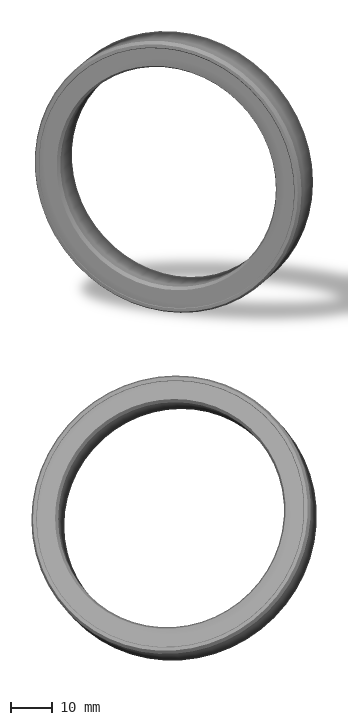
import cadquery as cq

outer_radius = 34.0
bore_radius = 27.5
width = 10.05
chamfer_depth = 1.0
chamfer_height = 0.58
joint_rim_radius = 32.65
clearance = 0.15

half_width = width / 2
bevel_start = half_width - chamfer_depth


def ring(inner_rim, inner_middle, outer_middle, outer_rim):
    """Revolve a ring whose two sides are bevelled from a middle radius to a rim radius at both ends."""
    profile = (
        cq.Workplane("XY")
        .moveTo(inner_rim, -half_width)
        .lineTo(outer_rim, -half_width)
        .lineTo(outer_middle, -bevel_start)
        .lineTo(outer_middle, bevel_start)
        .lineTo(outer_rim, half_width)
        .lineTo(inner_rim, half_width)
        .lineTo(inner_middle, bevel_start)
        .lineTo(inner_middle, -bevel_start)
        .close()
    )
    return profile.revolve(360, (0, 0, 0), (0, 1, 0))


joint_middle_radius = joint_rim_radius - chamfer_height
outer_ring = ring(
    inner_rim=joint_rim_radius,
    inner_middle=joint_middle_radius,
    outer_middle=outer_radius,
    outer_rim=outer_radius - chamfer_height,
)

inner_ring = ring(
    inner_rim=bore_radius + chamfer_height,
    inner_middle=bore_radius,
    outer_middle=joint_middle_radius - clearance,
    outer_rim=joint_rim_radius - clearance,
)

result = cq.Compound.makeCompound([outer_ring.val(), inner_ring.val()])